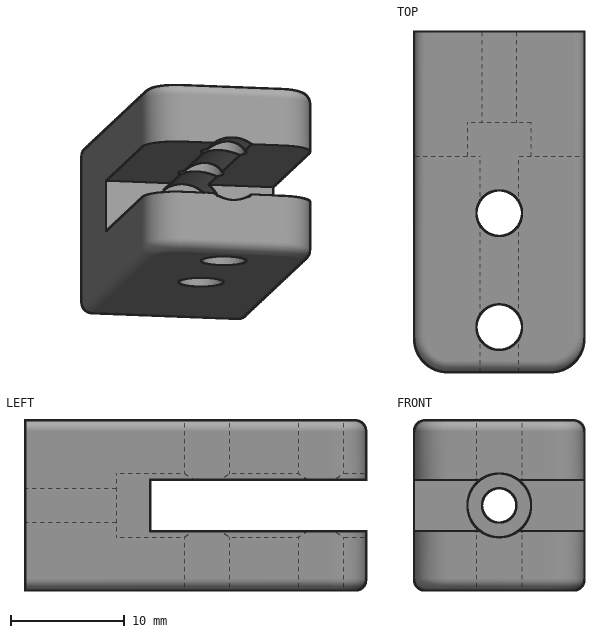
import cadquery as cq

width = 15.0
length = 30.0
height = 15.0
corner_radius = 3.0
edge_radius = 1.0

slot_height = 4.5
slot_depth = 19.0

cross_hole_diameter = 4.0
cross_hole_places = (4.0, 14.0)

bore_diameter = 3.0
counterbore_diameter = 5.6
counterbore_past_slot = 3.0
counterbore_depth = slot_depth + counterbore_past_slot


def make_body():
    """Block with rounded front corners and softened top and bottom edges."""
    body = cq.Workplane("XY").box(width, length, height, centered=(True, False, True))
    body = body.edges("|Z and <Y").fillet(corner_radius)
    return body.faces("<Z or >Z").edges("not >Y").fillet(edge_radius)


def make_slot():
    """Full-width slot opening at the front."""
    return cq.Workplane("XY").box(width, slot_depth, slot_height, centered=(True, False, True))


def make_cross_hole(place):
    """Vertical cutter through both jaws."""
    return (
        cq.Workplane("XY", origin=(0, place, 0))
        .circle(cross_hole_diameter / 2)
        .extrude(height / 2, both=True)
    )


def make_lengthwise_cutter(diameter, depth):
    """Round cutter running along +Y from the front face."""
    return cq.Workplane("XZ").circle(diameter / 2).extrude(-depth)


result = make_body().cut(make_slot())
for hole_place in cross_hole_places:
    result = result.cut(make_cross_hole(hole_place))
result = result.cut(make_lengthwise_cutter(counterbore_diameter, counterbore_depth))
result = result.cut(make_lengthwise_cutter(bore_diameter, length))